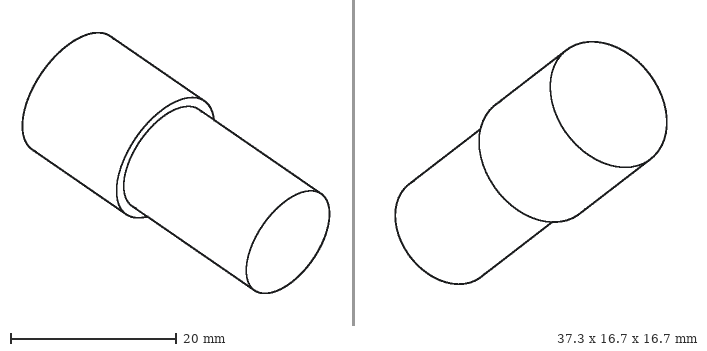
import cadquery as cq

total_length = 37.26
head_length = 16.2
head_diameter = 16.71
shank_diameter = 14.25

shank_length = total_length - head_length


def make_head():
    """Larger cylinder, starting at X = 0."""
    return cq.Workplane("YZ").circle(head_diameter / 2).extrude(head_length)


def add_shank(body):
    """Smaller concentric cylinder, continuing from the head's +X face."""
    return body.faces(">X").workplane().circle(shank_diameter / 2).extrude(shank_length)


result = add_shank(make_head())